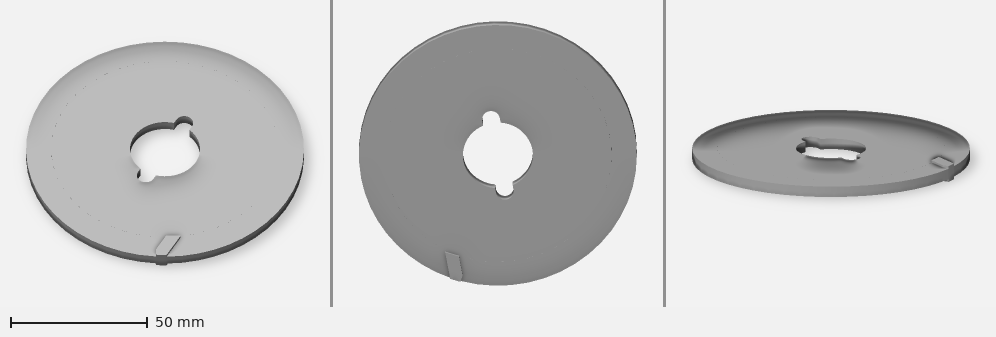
import cadquery as cq
import math

outer_radius = 50.8
seam_radius = 83.1 / 2
plate_thickness = 4.0

bore_radius = 12.8
keyway_width = 6.5
keyway_reach = 17.5

tooth_height = 6.0
tooth_left = 20.9
tooth_right = 25.6
inner_right_y = -33.4
bevel_width = 1.2
bevel_start_y = -43.5


def circle_y(radius, x):
    """Y of the point at x on the lower half of a centred circle."""
    return -math.sqrt(radius**2 - x**2)


def centred_cylinder(radius):
    return cq.Workplane("XY", origin=(0, 0, -plate_thickness / 2)).circle(radius).extrude(plate_thickness)


def make_disc():
    bore = centred_cylinder(bore_radius)
    keyways = (
        cq.Workplane("XY", origin=(0, 0, -plate_thickness / 2))
        .slot2D(2 * keyway_reach, keyway_width, 90)
        .extrude(plate_thickness)
    )
    return centred_cylinder(seam_radius).cut(bore).cut(keyways)


def make_tooth():
    """Straight-sided tooth with a slanted inner end, an arc outer end and one bevelled outer corner."""
    tip_x = tooth_left + bevel_width
    tip_middle_x = (tip_x + tooth_right) / 2
    return (
        cq.Workplane("XY", origin=(0, 0, -tooth_height / 2))
        .moveTo(tooth_left, circle_y(seam_radius, tooth_left))
        .lineTo(tooth_left, bevel_start_y)
        .lineTo(tip_x, circle_y(outer_radius, tip_x))
        .threePointArc(
            (tip_middle_x, circle_y(outer_radius, tip_middle_x)),
            (tooth_right, circle_y(outer_radius, tooth_right)),
        )
        .lineTo(tooth_right, inner_right_y)
        .close()
        .extrude(tooth_height)
    )


def make_ring(tooth):
    """Ring around the disc, with a notch that fits the tooth."""
    return centred_cylinder(outer_radius).cut(centred_cylinder(seam_radius)).cut(tooth)


disc = make_disc()
tooth = make_tooth()
ring = make_ring(tooth)

result = cq.Compound.makeCompound([disc.val(), ring.val(), tooth.val()])